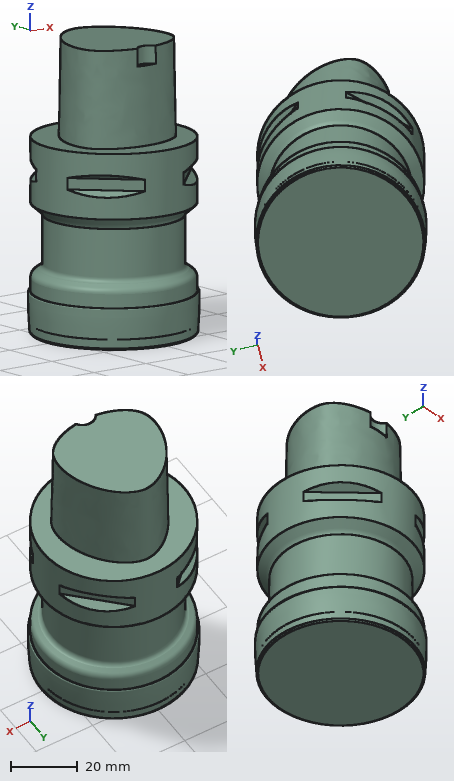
import cadquery as cq
import math

total_height = 90.0
collar_top = 60.0
shank_base_radius = 17.55
shank_top_radius = 17.0
lobe_height = 1.2
outline_points = 48

notch_diameter = 8.0
notch_depth = 5.5
notch_center_y = -17.6

collar_radius = 50.0 / 2
collar_bottom = 40.0
neck_radius = 42.8 / 2
upper_cone_end_radius = 22.3
upper_cone_end = 37.6
neck_top = 36.3
neck_bottom = 21.3
lower_cone_start_radius = 22.7
lower_cone_start = 19.6
lower_cone_end_radius = 24.0
lower_cone_end = 18.7
flange_top = 17.0

groove_count = 4
groove_first_angle = 45.0
groove_floor_distance = 22.1
groove_floor_height = 3.5
groove_flank_angle = 30.0
groove_center_z = 50.0
groove_reach = 4.5

cap_top = 12.8
cap_max_radius = 51.4 / 2
cap_widest_z = 9.9
cap_bottom_radius = 25.3
cap_top_rounding = 0.5
cap_bottom_chamfer = 0.5
spigot_radius = 50.2 / 2
spigot_bottom = 3.2


def lobed_point(mean_radius, angle):
    """Point on a three-lobed curve whose support distance varies with the cosine of 3 * angle."""
    distance = mean_radius + lobe_height * math.cos(3 * angle)
    slope = -3 * lobe_height * math.sin(3 * angle)
    along = distance * math.cos(angle) - slope * math.sin(angle)
    across = distance * math.sin(angle) + slope * math.cos(angle)
    return (-across, along)


def lobed_outline(mean_radius):
    step = 2 * math.pi / outline_points
    return [lobed_point(mean_radius, i * step) for i in range(outline_points)]


def make_shank():
    shank = (
        cq.Workplane("XY", origin=(0, 0, collar_top))
        .spline(lobed_outline(shank_base_radius), periodic=True).close()
        .workplane(offset=total_height - collar_top)
        .spline(lobed_outline(shank_top_radius), periodic=True).close()
        .loft(ruled=True)
    )
    notch = (
        cq.Workplane("XY", origin=(0, notch_center_y, total_height - notch_depth))
        .circle(notch_diameter / 2)
        .extrude(notch_depth)
    )
    return shank.cut(notch)


def make_turned_section():
    """Collar, neck, flange and spigot, revolved about Z."""
    return (
        cq.Workplane("XZ")
        .moveTo(0, collar_top)
        .lineTo(collar_radius, collar_top)
        .lineTo(collar_radius, collar_bottom)
        .lineTo(upper_cone_end_radius, upper_cone_end)
        .tangentArcPoint((neck_radius, neck_top), relative=False)
        .lineTo(neck_radius, neck_bottom)
        .tangentArcPoint((lower_cone_start_radius, lower_cone_start), relative=False)
        .lineTo(lower_cone_end_radius, lower_cone_end)
        .tangentArcPoint((collar_radius, flange_top), relative=False)
        .lineTo(collar_radius, cap_top)
        .lineTo(spigot_radius, cap_top)
        .lineTo(spigot_radius, spigot_bottom)
        .lineTo(0, spigot_bottom)
        .close()
        .revolve(360, (0, 0, 0), (0, 1, 0))
    )


def make_groove(angle):
    """Straight cutter with flared flanks, crossing the collar tangentially."""
    floor_half = groove_floor_height / 2
    outer_half = floor_half + groove_reach * math.tan(math.radians(groove_flank_angle))
    outer_distance = groove_floor_distance + groove_reach
    return (
        cq.Workplane("XZ", origin=(0, 0, groove_center_z))
        .polyline([
            (groove_floor_distance, -floor_half),
            (outer_distance, -outer_half),
            (outer_distance, outer_half),
            (groove_floor_distance, floor_half),
        ])
        .close()
        .extrude(collar_radius, both=True)
        .rotate((0, 0, 0), (0, 0, 1), angle)
    )


def make_holder():
    holder = make_turned_section().union(make_shank())
    for i in range(groove_count):
        holder = holder.cut(make_groove(groove_first_angle + i * 360 / groove_count))
    return holder


def make_cap():
    """Closed cap with a slightly bulging outside and a blind seat for the spigot."""
    bulge_middle_radius = cap_max_radius - (cap_max_radius - cap_bottom_radius) / 4
    bulge_middle_z = (cap_bottom_chamfer + cap_widest_z) / 2
    return (
        cq.Workplane("XZ")
        .lineTo(cap_bottom_radius - cap_bottom_chamfer, 0)
        .lineTo(cap_bottom_radius, cap_bottom_chamfer)
        .threePointArc((bulge_middle_radius, bulge_middle_z), (cap_max_radius, cap_widest_z))
        .lineTo(cap_max_radius, cap_top - cap_top_rounding)
        .tangentArcPoint((cap_max_radius - cap_top_rounding, cap_top), relative=False)
        .lineTo(spigot_radius, cap_top)
        .lineTo(spigot_radius, spigot_bottom)
        .lineTo(0, spigot_bottom)
        .close()
        .revolve(360, (0, 0, 0), (0, 1, 0))
    )


holder = make_holder()
cap = make_cap()
result = cq.Compound.makeCompound([holder.val(), cap.val()])